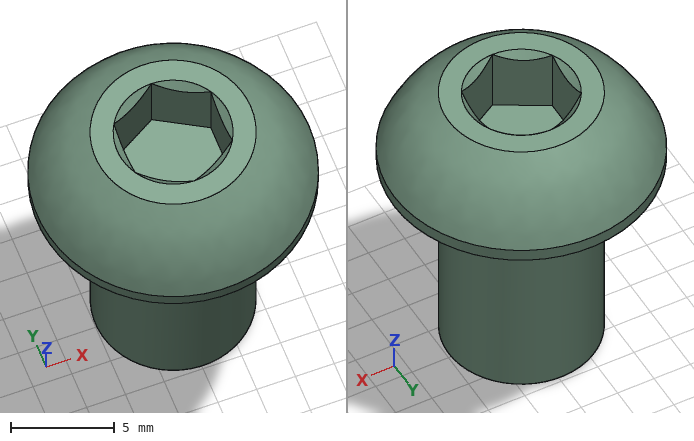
import cadquery as cq
import math

total_height = 16.4
head_height = 4.4
shank_length = total_height - head_height
head_radius = 14.0 / 2
rim_height = 0.67
shank_radius = 8.0 / 2
crown_radius = shank_radius
dome_bulge = 0.35
tip_chamfer_height = 0.3
tip_chamfer_width = 0.36

socket_across_flats = 5.0
socket_corner_diameter = socket_across_flats / math.cos(math.pi / 6)
socket_depth = 3.5
countersink_angle = math.radians(45)


def screw_body():
    """Shank and domed head revolved from a half profile."""
    chord_x = crown_radius - head_radius
    chord_z = head_height - rim_height
    chord = math.hypot(chord_x, chord_z)
    dome_middle = (
        (crown_radius + head_radius) / 2 + dome_bulge * chord_z / chord,
        (head_height + rim_height) / 2 - dome_bulge * chord_x / chord,
    )
    return (
        cq.Workplane("XZ")
        .moveTo(0, -shank_length)
        .lineTo(shank_radius - tip_chamfer_width, -shank_length)
        .lineTo(shank_radius, tip_chamfer_height - shank_length)
        .lineTo(shank_radius, 0)
        .lineTo(head_radius, 0)
        .lineTo(head_radius, rim_height)
        .threePointArc(dome_middle, (crown_radius, head_height))
        .lineTo(0, head_height)
        .close()
        .revolve(360, (0, 0), (0, 1))
    )


def hex_socket():
    """Hexagonal recess with two corners on the Y axis."""
    return (
        cq.Workplane("XY")
        .workplane(offset=head_height - socket_depth)
        .polygon(6, socket_corner_diameter)
        .extrude(socket_depth)
        .rotate((0, 0, 0), (0, 0, 1), 90)
    )


def socket_countersink():
    """Cone that meets the hexagon corners at the top face."""
    mouth_radius = socket_corner_diameter / 2
    cone_depth = mouth_radius * math.tan(countersink_angle)
    cone = cq.Solid.makeCone(
        mouth_radius, 0, cone_depth, pnt=cq.Vector(0, 0, head_height), dir=cq.Vector(0, 0, -1)
    )
    return cq.Workplane(cone)


result = screw_body().cut(hex_socket()).cut(socket_countersink())